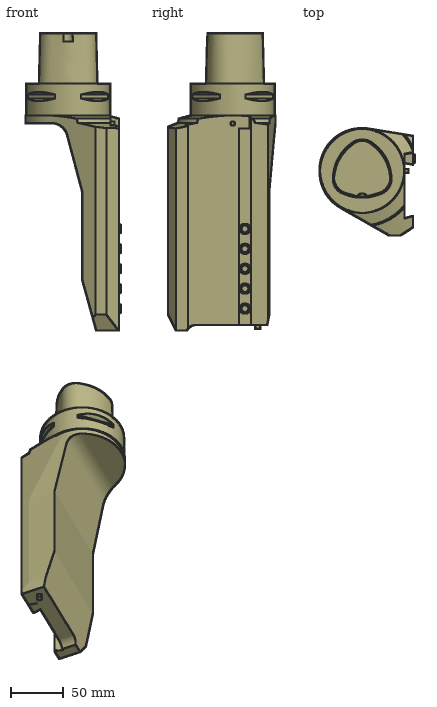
import cadquery as cq
import math


shank_height = 48.0
shank_base_radius = 27.7
shank_taper = 1 / 40
lobe_height = 2.12
lobe_half_angle = 35
keyway_diameter = 9.5
keyway_depth = 8.0
keyway_center_y = -26.3

flange_diameter = 80.0
collar_radius = 40.8
collar_top_z = -30.3
collar_bottom_z = -37.5

groove_z = -12.2
groove_floor_distance = 35.7
groove_floor_height = 3.5
groove_mouth_height = 8.8

front_x = 48.5
seat_x = 40.5
side_y = -61.7
side_flat_start_x = 26.0
side_flat_end_x = 36.2
lower_tangent_angle = 240
upper_tangent_angle = 80
upper_corner_y = 33.5
lip_outer_y = -53.8
lip_tip_y = -42.7
lip_root_y = -45.0
wedge_side_y = 16.0
wedge_side_front_y = 17.5

bottom_z = -283 + shank_height
shelf_z = -229.8
chamfer_z = -219.5
back_x = 13.3
back_top_z = -103.0
back_bottom_z = -186.8
back_toe_x = 26.5
neck_z = -49.2
neck_upper_y = 39.5
upper_y = 34.8
shelf_upper_y = 32.8
shelf_lower_y = -36.5
heel_inner_y = -43.5
heel_outer_y = -54.0
heel_arc_mid = (-40.8, -231.5)
neck_fillet = 15.0
neck_angle = math.radians(75)

step_radius = 52.0
shoulder_outer_radius = 73.5
step_height = 4.0
step_run = 0.8
shoulder_slope = math.tan(math.radians(15))

wedge_center_y = 11.5
wedge_root_width = 8.8
wedge_front_width = 11.5
wedge_top_z = -42.5
screw_count = 5
screw_pitch = 19.0
first_screw_z = -138.0
screw_base_diameter = 9.5
screw_tip_diameter = 6.8
screw_height = 2.0
nozzle_diameter = 4.0
nozzle_z = -38.0
nozzle_length = 3.7
stop_pin_diameter = 5.0
stop_pin_x = 34.0
stop_pin_y = 23.8
stop_pin_length = 3.5
embed = 2.8
span = 169.8


def lobed_point(radius, angle):
    """Point of a constant-width trilobe whose outward normal has this angle; one lobe is toward +Y."""
    normal = math.radians(angle)
    lobe_phase = 3 * math.radians(angle - 90)
    support = radius + lobe_height * math.cos(lobe_phase)
    slope = -3 * lobe_height * math.sin(lobe_phase)
    x = support * math.cos(normal) - slope * math.sin(normal)
    y = support * math.sin(normal) + slope * math.cos(normal)
    return x, y


def add_trilobe(workplane, radius):
    """Closed outline of three tight lobe arcs and three flatter side arcs."""
    outline = workplane.moveTo(*lobed_point(radius, 90 - lobe_half_angle))
    for lobe_angle in (90, 210, 330):
        lobe_end = lobed_point(radius, lobe_angle + lobe_half_angle)
        next_lobe_start = lobed_point(radius, lobe_angle + 120 - lobe_half_angle)
        outline = outline.threePointArc(lobed_point(radius, lobe_angle), lobe_end)
        outline = outline.threePointArc(lobed_point(radius, lobe_angle + 60), next_lobe_start)
    return outline.close()


def make_shank():
    top_radius = shank_base_radius - shank_height * shank_taper
    base = add_trilobe(cq.Workplane("XY"), shank_base_radius)
    shank = add_trilobe(base.workplane(offset=shank_height), top_radius).loft(ruled=True)
    keyway = (
        cq.Workplane("XY", origin=(0, keyway_center_y, shank_height - keyway_depth))
        .circle(keyway_diameter / 2)
        .extrude(keyway_depth)
    )
    return shank.cut(keyway)


def make_flange():
    flange = cq.Workplane("XY").circle(flange_diameter / 2).extrude(collar_bottom_z)
    flange_radius = flange_diameter / 2
    flank_slope = (groove_mouth_height - groove_floor_height) / (flange_radius - groove_floor_distance)
    cutter_outer = flange_radius + embed
    cutter_half_height = (groove_mouth_height + embed * flank_slope) / 2
    groove = (
        cq.Workplane("XZ", origin=(0, 0, groove_z))
        .moveTo(groove_floor_distance, -groove_floor_height / 2)
        .lineTo(cutter_outer, -cutter_half_height)
        .lineTo(cutter_outer, cutter_half_height)
        .lineTo(groove_floor_distance, groove_floor_height / 2)
        .close()
        .extrude(flange_radius, both=True)
    )
    for angle in (45, 135, 225, 315):
        flange = flange.cut(groove.rotate((0, 0, 0), (0, 0, 1), angle))
    return flange


def make_collar():
    collar = (
        cq.Workplane("XY", origin=(0, 0, collar_bottom_z))
        .circle(collar_radius)
        .extrude(collar_top_z - collar_bottom_z)
    )
    keep = cq.Workplane("XY").box(span, span, span).translate((seat_x - span / 2, 0, 0))
    return collar.intersect(keep)


def collar_point(angle):
    return (
        collar_radius * math.cos(math.radians(angle)),
        collar_radius * math.sin(math.radians(angle)),
    )


def blade_plan():
    return (
        cq.Workplane("XY", origin=(0, 0, bottom_z))
        .moveTo(*collar_point(upper_tangent_angle))
        .threePointArc((-collar_radius, 0), collar_point(lower_tangent_angle))
        .lineTo(side_flat_start_x, side_y)
        .lineTo(side_flat_end_x, side_y)
        .lineTo(front_x, lip_outer_y)
        .lineTo(front_x, lip_tip_y)
        .lineTo(seat_x, lip_root_y)
        .lineTo(seat_x, wedge_side_y)
        .lineTo(front_x, wedge_side_front_y)
        .lineTo(front_x, upper_corner_y)
        .close()
        .extrude(collar_top_z - bottom_z)
    )


def blade_front_profile():
    """Back face with the rounded neck, swept along Y."""
    neck_x = back_x - (neck_z - back_top_z) / math.tan(neck_angle)
    arc_center_x = neck_x - neck_fillet * math.sin(neck_angle)
    arc_center_z = collar_bottom_z - neck_fillet
    mid_angle = math.pi / 2 - neck_angle / 2
    arc_end_z = arc_center_z + neck_fillet * math.cos(neck_angle)
    arc_mid = (
        arc_center_x + neck_fillet * math.cos(mid_angle),
        arc_center_z + neck_fillet * math.sin(mid_angle),
    )
    return (
        cq.Workplane("XZ")
        .moveTo(-collar_radius, collar_top_z)
        .lineTo(-collar_radius, collar_bottom_z)
        .lineTo(arc_center_x, collar_bottom_z)
        .threePointArc(arc_mid, (neck_x, arc_end_z))
        .lineTo(back_x, back_top_z)
        .lineTo(back_x, back_bottom_z)
        .lineTo(back_toe_x, bottom_z)
        .lineTo(front_x, bottom_z)
        .lineTo(front_x, collar_top_z)
        .close()
        .extrude(span / 2, both=True)
    )


def blade_side_profile():
    """Tapered upper side, bottom shelf and pointed heel, swept along X."""
    return (
        cq.Workplane("YZ")
        .moveTo(collar_radius, collar_top_z)
        .lineTo(collar_radius, collar_bottom_z)
        .lineTo(neck_upper_y, neck_z)
        .lineTo(upper_y, back_top_z)
        .lineTo(upper_y, chamfer_z)
        .lineTo(shelf_upper_y, shelf_z)
        .lineTo(shelf_lower_y, shelf_z)
        .threePointArc(heel_arc_mid, (heel_inner_y, bottom_z))
        .lineTo(heel_outer_y, bottom_z)
        .lineTo(side_y, chamfer_z)
        .lineTo(side_y, collar_top_z)
        .close()
        .extrude(span / 2, both=True)
    )


def blade_shoulder():
    """Stepped cone that limits the blade from above."""
    step_top_z = collar_top_z - (step_radius - collar_radius) * shoulder_slope
    step_foot_radius = step_radius + step_run
    step_foot_z = step_top_z - step_height
    outer_z = step_foot_z - (shoulder_outer_radius - step_foot_radius) * shoulder_slope
    return (
        cq.Workplane("XZ")
        .moveTo(0, bottom_z)
        .lineTo(shoulder_outer_radius, bottom_z)
        .lineTo(shoulder_outer_radius, outer_z)
        .lineTo(step_foot_radius, step_foot_z)
        .lineTo(step_radius, step_top_z)
        .lineTo(collar_radius, collar_top_z)
        .lineTo(0, collar_top_z)
        .close()
        .revolve(360, (0, 0, 0), (0, 1, 0))
    )


def make_blade():
    blade = blade_plan().intersect(blade_front_profile())
    return blade.intersect(blade_side_profile()).intersect(blade_shoulder())


def make_wedge():
    half_root = wedge_root_width / 2
    half_front = wedge_front_width / 2
    return (
        cq.Workplane("XY", origin=(0, wedge_center_y, shelf_z))
        .moveTo(seat_x - embed, -half_root)
        .lineTo(seat_x, -half_root)
        .lineTo(front_x, -half_front)
        .lineTo(front_x, half_front)
        .lineTo(seat_x, half_root)
        .lineTo(seat_x - embed, half_root)
        .close()
        .extrude(wedge_top_z - shelf_z)
    )


def make_screw(z):
    return cq.Workplane(
        cq.Solid.makeCone(
            screw_base_diameter / 2,
            screw_tip_diameter / 2,
            screw_height,
            cq.Vector(front_x, wedge_center_y, z),
            cq.Vector(1, 0, 0),
        )
    )


def make_nozzle():
    return (
        cq.Workplane("YZ", origin=(seat_x - embed, 0, nozzle_z))
        .circle(nozzle_diameter / 2)
        .extrude(nozzle_length + embed)
    )


def make_stop_pin():
    return (
        cq.Workplane("XY", origin=(stop_pin_x, stop_pin_y, shelf_z - stop_pin_length))
        .circle(stop_pin_diameter / 2)
        .extrude(stop_pin_length + embed)
    )


result = make_flange().union(make_shank()).union(make_collar())
result = result.union(make_blade()).union(make_wedge())
for index in range(screw_count):
    result = result.union(make_screw(first_screw_z - index * screw_pitch))
result = result.union(make_nozzle()).union(make_stop_pin())